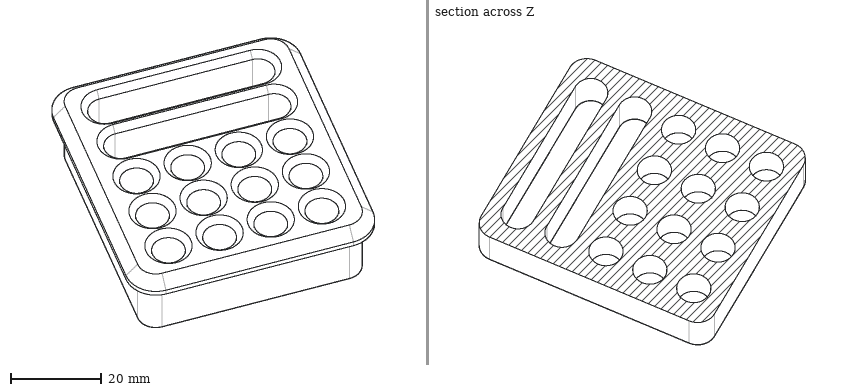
import cadquery as cq

height = 18.0
rim_length = 63.5
rim_width = 57.98
rim_overhang = 2.75
rim_thickness = 4.0
rim_chamfer = rim_overhang
rim_corner_radius = 7.0

body_length = rim_length - 2 * rim_overhang
body_width = rim_width - 2 * rim_overhang
body_corner_radius = rim_corner_radius - rim_overhang

column_pitch = 10.9
row_pitch = 12.0
row_count = 4
slot_columns = (-2, -1)
pocket_columns = (0, 1, 2)
slot_direction = 90
row_span = (row_count - 1) * row_pitch

opening_diameter = 7.5
mouth_chamfer = 1.5
mouth_angle = 45
floor_thickness = 2.0
pocket_depth = height - floor_thickness
mouth_diameter = opening_diameter + 2 * mouth_chamfer


def rounded_block(length, width, thickness, corner_radius):
    """Block standing on the XY plane with rounded vertical edges."""
    block = cq.Workplane("XY").box(length, width, thickness, centered=(True, True, False))
    return block.edges("|Z").fillet(corner_radius)


def make_body():
    """Body with the wider, chamfered rim along its top."""
    body = rounded_block(body_length, body_width, height, body_corner_radius)
    rim = rounded_block(rim_length, rim_width, rim_thickness, rim_corner_radius)
    rim = rim.faces(">Z").chamfer(rim_chamfer)
    return body.union(rim.translate((0, 0, height - rim_thickness)))


def flared_pocket(x, y):
    """Cutter for a blind round pocket with a chamfered mouth."""
    bore = cq.Workplane("XY").circle(opening_diameter / 2).extrude(-pocket_depth)
    mouth = cq.Workplane("XY").circle(mouth_diameter / 2).extrude(-mouth_chamfer, taper=mouth_angle)
    return bore.union(mouth).translate((x, y, height))


def flared_slot(x):
    """Cutter for a through slot along Y with a chamfered mouth."""
    bore = (
        cq.Workplane("XY")
        .slot2D(row_span + opening_diameter, opening_diameter, slot_direction)
        .extrude(-height)
    )
    mouth = (
        cq.Workplane("XY")
        .slot2D(row_span + mouth_diameter, mouth_diameter, slot_direction)
        .extrude(-mouth_chamfer, taper=mouth_angle)
    )
    return bore.union(mouth).translate((x, 0, height))


result = make_body()

for column in slot_columns:
    result = result.cut(flared_slot(column * column_pitch))

for column in pocket_columns:
    for row in range(row_count):
        row_y = row * row_pitch - row_span / 2
        result = result.cut(flared_pocket(column * column_pitch, row_y))